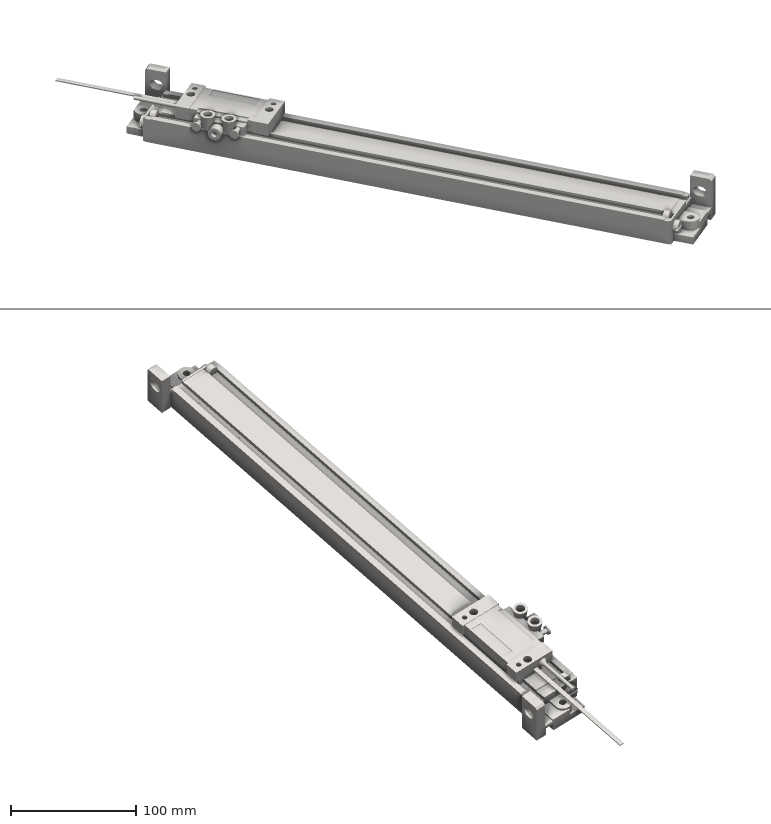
import cadquery as cq


total_length = 550.0
bracket_start = 66.0
rail_center_x = (bracket_start + total_length) / 2
bracket_width = 18.0
foot_length = 16.5
cap_thickness = 6.0
rail_depth = 47.0
rail_height = 22.0
cap_outer_x = total_length - foot_length
rail_end_x = cap_outer_x - cap_thickness
rail_start_x = 2 * rail_center_x - rail_end_x

front_groove = (5.0, 13.0)
back_groove = (34.5, 41.0)
groove_floor = 18.0
mark_positions = (457.5, 507.0)
mark_width = 1.5
mark_length = 4.5
mark_depth = 0.5
land_step_x = 93.0
land_step_depth = 1.0

cap_plate_thickness = 1.5
cap_neck_drop = 0.5
cap_plate_inset = 0.5

upright_front_y = 48.0
upright_back_y = 56.5
upright_height = 37.5
upright_chamfer = 1.5
slot_x = 540.0
slot_z = 24.0
slot_length = 11.0
slot_height = 9.0

foot_front_y = 6.5
foot_height = 6.5
block_front_y = 22.0
block_height = 12.5
relief_front_y = 39.5
relief_height = 11.0
underside_groove = (39.0, 47.0)
underside_groove_height = 7.5
pad_x = 542.0
pad_y = 22.5
pad_radius = 7.0
pad_top = 15.0
foot_hole_diameter = 6.0

plug_y = 9.0
plug_z = 12.5
plug_radius = 5.5
plug_length = 4.5
plug_slot_width = 1.5
plug_slot_depth = 1.5
clip_z = 20.5
clip_radius = 5.0
clip_length = 5.0
clip_end_x = 529.5

head_start_x = 108.0
head_end_x = 187.5
head_front_y = 5.0
head_back_y = 43.0
head_bottom = 25.0
head_top = 36.0
left_block_width = 12.0
right_block_width = 13.0
middle_front_y = 6.0
middle_back_y = 40.5
middle_top = 35.0
sensor_foot = (16.0, 34.0)
guide_leg = (36.5, 40.0)
guide_leg_bottom = 19.0
label_recess = (127.5, 168.0, 29.5, 39.5)
label_depth = 0.5

small_hole_y = 36.0
small_hole_diameter = 4.5
large_hole_y = 26.5
large_hole_diameter = 7.0
block_hole_x = (113.5, 180.5)

cable_y = 23.0
cable_z = 27.0
cable_width = 4.0
cable_thickness = 1.0
sleeve_start_x = 69.5
sleeve_y = 15.5
sleeve_z = 29.0
sleeve_radius = 1.5
collar_radius = 4.0
collar_length = 3.5

clamp_x = (126.5, 169.5)
clamp_y = (-1.5, 10.0)
clamp_top = 34.0
clamp_step_top = 32.5
clamp_center_x = sum(clamp_x) / 2
knob_spacing = 18.0
knob_y = -3.0
knob_radius = 6.0
knob_top = 39.0
knob_bottom = 27.0
knob_base_radius = 4.5
knob_hole_radius = 4.0
roller_radius = 5.5
roller_z = 27.5
roller_recess_radius = 3.0
roller_recess_depth = 3.5
roller_front_y = -12.0
roller_back_y = -5.0
pin_spacing = 32.5
pin_z = 29.5
pin_radius = 2.0
pin_head_radius = 4.0
pin_head_length = 1.5
pin_front_y = -10.5


def box(x_range, y_range, z_range):
    """Axis-aligned box between the given limits."""
    size = [high - low for low, high in (x_range, y_range, z_range)]
    corner = (x_range[0], y_range[0], z_range[0])
    return cq.Workplane("XY").box(*size, centered=False).translate(corner)


def rod_x(start_x, y, z, radius, length):
    """Round rod pointing toward +X."""
    return cq.Workplane("YZ", origin=(start_x, y, z)).circle(radius).extrude(length)


def rod_y(x, start_y, z, radius, length):
    """Round rod pointing toward +Y."""
    return cq.Workplane("XZ", origin=(x, start_y, z)).circle(radius).extrude(-length)


def rod_z(x, y, start_z, radius, length):
    """Round rod pointing toward +Z."""
    return cq.Workplane("XY", origin=(x, y, start_z)).circle(radius).extrude(length)


def rail_profile(x_range, top):
    """Rail section with its two open grooves, cut off at the given height."""
    section = box(x_range, (0, rail_depth), (0, top))
    for groove in (front_groove, back_groove):
        section = section.cut(box(x_range, groove, (groove_floor, top)))
    return section


def make_rail():
    """Extruded rail with a stepped middle land and marks in its back groove."""
    rail = rail_profile((rail_start_x, rail_end_x), rail_height)
    land_y = (front_groove[1], back_groove[0])
    step_z = (rail_height - land_step_depth, rail_height)
    rail = rail.cut(box((rail_start_x, land_step_x), land_y, step_z))
    for x in mark_positions:
        mark_y = (back_groove[1] - mark_length, back_groove[1])
        mark_z = (groove_floor - mark_depth, groove_floor)
        rail = rail.cut(box((x, x + mark_width), mark_y, mark_z))
    return rail


def make_bracket():
    """Right mounting bracket: slotted upright, stepped foot and drilled screw pad."""
    upright_x = (total_length - bracket_width, total_length)
    foot_x = (cap_outer_x, total_length)
    upright = box(upright_x, (upright_front_y, upright_back_y), (0, upright_height))
    upright = upright.edges(">X and >Z").chamfer(upright_chamfer)
    slot = (
        cq.Workplane("XZ", origin=(slot_x, upright_front_y, slot_z))
        .slot2D(slot_length, slot_height)
        .extrude(upright_front_y - upright_back_y)
    )
    foot = box(foot_x, (foot_front_y, upright_front_y), (0, foot_height))
    block = box(foot_x, (block_front_y, upright_front_y), (0, block_height))
    pad = rod_z(pad_x, pad_y, 0, pad_radius, pad_top).union(
        box((cap_outer_x, pad_x), (pad_y - pad_radius, pad_y + pad_radius), (0, pad_top))
    )
    relief = box(foot_x, (relief_front_y, upright_front_y), (relief_height, block_height))
    foot = foot.union(block.cut(relief)).union(pad)
    foot = foot.cut(box(foot_x, underside_groove, (0, underside_groove_height)))
    foot = foot.cut(rod_z(pad_x, pad_y, 0, foot_hole_diameter / 2, pad_top))
    return upright.cut(slot).union(foot)


def make_plug():
    """Slotted screw plug on the outer face of the right end cap."""
    plug = rod_x(cap_outer_x, plug_y, plug_z, plug_radius, plug_length)
    plug_end_x = cap_outer_x + plug_length
    slot = box(
        (plug_end_x - plug_slot_depth, plug_end_x),
        (plug_y - plug_radius, plug_y + plug_radius),
        (plug_z - plug_slot_width / 2, plug_z + plug_slot_width / 2),
    )
    return plug.cut(slot)


def make_right_end():
    """Right end cap (neck and plate) with its plug, clip and mounting bracket."""
    plate_x = cap_outer_x - cap_plate_thickness
    neck = rail_profile((rail_end_x, plate_x), rail_height - cap_neck_drop)
    plate = box((plate_x, cap_outer_x), (cap_plate_inset, rail_depth), (0, rail_height))
    notch_y = (back_groove[0], rail_depth)
    plate = plate.cut(box((plate_x, cap_outer_x), notch_y, (groove_floor, rail_height)))
    clip = rod_x(clip_end_x - clip_length, plug_y, clip_z, clip_radius, clip_length)
    return neck.union(plate).union(clip).union(make_plug()).union(make_bracket())


def make_scale_unit():
    """Rail closed by two mirrored ends."""
    right_end = make_right_end()
    left_end = right_end.mirror("YZ", basePointVector=(rail_center_x, 0, 0))
    return make_rail().union(right_end).union(left_end)


def make_head_housing():
    """Head housing with two drilled end blocks and a runner below."""
    height = (head_bottom, head_top)
    head_x = (head_start_x, head_end_x)
    housing = box(head_x, (middle_front_y, middle_back_y), (head_bottom, middle_top))
    block_ranges = (
        (head_start_x, head_start_x + left_block_width),
        (head_end_x - right_block_width, head_end_x),
    )
    for block_x in block_ranges:
        housing = housing.union(box(block_x, (head_front_y, head_back_y), height))
    housing = housing.union(box(head_x, sensor_foot, (rail_height, head_bottom)))
    housing = housing.union(box(head_x, guide_leg, (guide_leg_bottom, head_bottom)))
    label_x, label_y = label_recess[:2], label_recess[2:]
    housing = housing.cut(box(label_x, label_y, (middle_top - label_depth, middle_top)))
    for x in block_hole_x:
        for y, diameter in (
            (small_hole_y, small_hole_diameter),
            (large_hole_y, large_hole_diameter),
        ):
            housing = housing.cut(
                rod_z(x, y, head_bottom, diameter / 2, head_top - head_bottom)
            )
    return housing


def make_cable():
    """Flat cable and the round sleeve with a conical collar beside it."""
    half_width = cable_width / 2
    half_thickness = cable_thickness / 2
    cable = box(
        (0, head_start_x),
        (cable_y - half_width, cable_y + half_width),
        (cable_z - half_thickness, cable_z + half_thickness),
    )
    sleeve = rod_x(
        sleeve_start_x, sleeve_y, sleeve_z, sleeve_radius, head_start_x - sleeve_start_x
    )
    collar = (
        cq.Workplane("YZ", origin=(head_start_x - collar_length, sleeve_y, sleeve_z))
        .circle(sleeve_radius)
        .workplane(offset=collar_length)
        .circle(collar_radius)
        .loft()
    )
    return cable, sleeve, collar


def make_knob(x):
    """Solid conical knob that narrows downward."""
    return (
        cq.Workplane("XY", origin=(x, knob_y, knob_bottom))
        .circle(knob_base_radius)
        .workplane(offset=knob_top - knob_bottom)
        .circle(knob_radius)
        .loft()
    )


def make_clamp():
    """Stepped clamp plate with two knobs, a roller between them and two headed pins."""
    clamp = box(clamp_x, clamp_y, (head_bottom, clamp_top))
    clamp = clamp.cut(box(clamp_x, (clamp_y[0], head_front_y), (clamp_step_top, clamp_top)))
    roller_length = roller_back_y - roller_front_y
    clamp = clamp.union(
        rod_y(clamp_center_x, roller_front_y, roller_z, roller_radius, roller_length)
    )
    clamp = clamp.cut(
        rod_y(
            clamp_center_x,
            roller_front_y,
            roller_z,
            roller_recess_radius,
            roller_recess_depth,
        )
    )
    for side in (-1, 1):
        pin_x = clamp_center_x + side * pin_spacing / 2
        pin_length = clamp_y[0] - pin_front_y
        clamp = clamp.union(make_knob(clamp_center_x + side * knob_spacing / 2))
        clamp = clamp.union(rod_y(pin_x, pin_front_y, pin_z, pin_radius, pin_length))
        clamp = clamp.union(
            rod_y(pin_x, pin_front_y, pin_z, pin_head_radius, pin_head_length)
        )
    for side in (-1, 1):
        knob_x = clamp_center_x + side * knob_spacing / 2
        bore_length = knob_top - head_bottom
        clamp = clamp.cut(
            rod_z(knob_x, knob_y, head_bottom, knob_hole_radius, bore_length)
        )
    return clamp


def make_reading_head():
    """Head housing with its clamp set into the front and the cable at the left."""
    pocket = box(clamp_x, (head_front_y, clamp_y[1]), (clamp_top, head_top))
    head = make_head_housing().cut(pocket).union(make_clamp())
    for piece in make_cable():
        head = head.union(piece)
    return head


scale_unit = make_scale_unit()
reading_head = make_reading_head()

result = cq.Compound.makeCompound([scale_unit.val(), reading_head.val()])